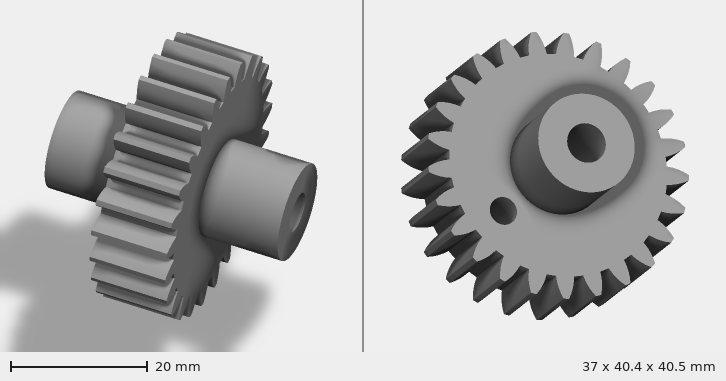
import cadquery as cq
import math

TOOTH_COUNT = 25
TIP_DIAMETER = 40.5
DEDENDUM_FACTOR = 1.25
ROOT_THICKNESS = 2.8
PITCH_THICKNESS = 2.15
TIP_THICKNESS = 0.85
FIRST_TOOTH_ANGLE = math.pi

GEAR_WIDTH = 12.0
HUB_LENGTH = 37.0
HUB_DIAMETER = 14.95
BORE_DIAMETER = 6.0

WEB_HOLE_DIAMETER = 4.2
WEB_HOLE_Y = 8.5
WEB_HOLE_Z = -7.75

MODULE = TIP_DIAMETER / (TOOTH_COUNT + 2)
TIP_RADIUS = TIP_DIAMETER / 2
PITCH_RADIUS = TIP_RADIUS - MODULE
ROOT_RADIUS = PITCH_RADIUS - DEDENDUM_FACTOR * MODULE
TOOTH_STEP = 2 * math.pi / TOOTH_COUNT


def half_angle(thickness, radius):
    """Half the angle that a tooth of this straight-across thickness spans at a radius."""
    return math.asin(thickness / 2 / radius)


ROOT_HALF_ANGLE = half_angle(ROOT_THICKNESS, ROOT_RADIUS)
PITCH_HALF_ANGLE = half_angle(PITCH_THICKNESS, PITCH_RADIUS)
TIP_HALF_ANGLE = half_angle(TIP_THICKNESS, TIP_RADIUS)


def polar(radius, angle):
    """Point in the YZ plane, with the angle measured from +Y towards +Z."""
    return (radius * math.cos(angle), radius * math.sin(angle))


def add_tooth(outline, center):
    """Draw one arc-flanked tooth and the root land after it, from the foot of the tooth."""
    return (
        outline.threePointArc(
            polar(PITCH_RADIUS, center - PITCH_HALF_ANGLE),
            polar(TIP_RADIUS, center - TIP_HALF_ANGLE),
        )
        .threePointArc(
            polar(TIP_RADIUS, center),
            polar(TIP_RADIUS, center + TIP_HALF_ANGLE),
        )
        .threePointArc(
            polar(PITCH_RADIUS, center + PITCH_HALF_ANGLE),
            polar(ROOT_RADIUS, center + ROOT_HALF_ANGLE),
        )
        .threePointArc(
            polar(ROOT_RADIUS, center + TOOTH_STEP / 2),
            polar(ROOT_RADIUS, center + TOOTH_STEP - ROOT_HALF_ANGLE),
        )
    )


def plane_across_x(x):
    return cq.Workplane("YZ", origin=(x, 0, 0))


def make_gear():
    """Toothed disc centred on X = 0."""
    first_foot = polar(ROOT_RADIUS, FIRST_TOOTH_ANGLE - ROOT_HALF_ANGLE)
    outline = plane_across_x(-GEAR_WIDTH / 2).moveTo(*first_foot)
    for i in range(TOOTH_COUNT):
        outline = add_tooth(outline, FIRST_TOOTH_ANGLE + i * TOOTH_STEP)
    return outline.close().extrude(GEAR_WIDTH)


def cylinder_along_x(diameter, y=0, z=0):
    """Cylinder as long as the hub, centred on X = 0."""
    return plane_across_x(-HUB_LENGTH / 2).center(y, z).circle(diameter / 2).extrude(HUB_LENGTH)


gear = make_gear()
web_hole = cylinder_along_x(WEB_HOLE_DIAMETER, WEB_HOLE_Y, WEB_HOLE_Z)
hub = cylinder_along_x(HUB_DIAMETER)
bore = cylinder_along_x(BORE_DIAMETER)

result = gear.cut(web_hole).union(hub).cut(bore)